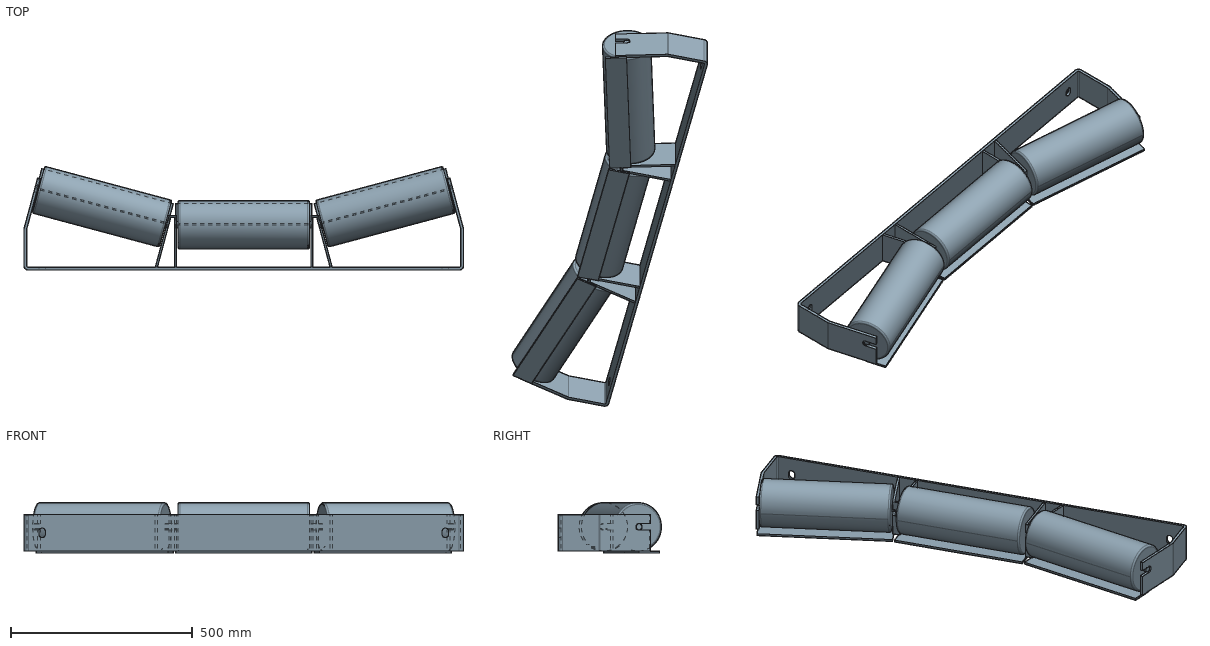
import cadquery as cq
import math

TILT = 15.0
HEIGHT = 100.0

FRAME_LENGTH = 1210.0
FRAME_THICKNESS = 8.0
INNER_BEND_RADIUS = 4.0
FLANGE_BEND_Y = 114.0
FLANGE_END_Y = 254.0
MOUNT_SLOT_LENGTH = 26.0
MOUNT_SLOT_WIDTH = 18.0
MOUNT_SLOT_X = 555.0

ROLLER_DIAMETER = 133.6
ROLLER_LENGTH = 362.0
ROLLER_EDGE_RADIUS = 5.0
AXLE_DIAMETER = 18.0
AXLE_LENGTH = 375.0
PLATE_WIDTH = 58.5
PLATE_THICKNESS = 6.0
PLATE_SINK = 0.1

MIDDLE_AXIS_Y = 124.8
OUTER_CENTRE_X = 390.0
OUTER_CENTRE_Y = 174.59

LEG_THICKNESS = 6.0
BRIDGE_TOP_Y = 151.0

SIN = math.sin(math.radians(TILT))
COS = math.cos(math.radians(TILT))
TAN = math.tan(math.radians(TILT))
HALF_LENGTH = FRAME_LENGTH / 2
OUTER_BEND_RADIUS = INNER_BEND_RADIUS + FRAME_THICKNESS
AXIS_Z = ROLLER_DIAMETER / 2 - PLATE_SINK
LEG_OFFSET = AXLE_LENGTH / 2


def place_middle(shape):
    """Move a shape built around X = Y = 0 to the middle roller."""
    return shape.translate((0, MIDDLE_AXIS_Y, 0))


def place_right(shape):
    """Move a shape built around X = Y = 0 to the right-hand outer roller."""
    turned = shape.rotate((0, 0, 0), (0, 0, 1), TILT)
    return turned.translate((OUTER_CENTRE_X, OUTER_CENTRE_Y, 0))


def mirror_left(shape):
    """Mirror a right-hand shape to the left-hand side."""
    return shape.mirror("YZ")


def rod(diameter, length):
    """Round bar along X, centred on the roller axis."""
    return cq.Workplane("YZ", origin=(-length / 2, 0, AXIS_Z)).circle(diameter / 2).extrude(length)


def roller():
    """Round-edged roller with its axle ends and the flat plate below it."""
    shell = rod(ROLLER_DIAMETER, ROLLER_LENGTH).edges("%CIRCLE").fillet(ROLLER_EDGE_RADIUS)
    plate = (
        cq.Workplane("XY")
        .box(AXLE_LENGTH, PLATE_WIDTH, PLATE_THICKNESS, centered=(True, False, False))
        .translate((0, 0, -PLATE_THICKNESS))
    )
    return shell.union(rod(AXLE_DIAMETER, AXLE_LENGTH)).union(plate)


def axle_slot():
    """Round-bottomed cutter for the axle, open towards +Y, reaching past both ends of the axle."""
    length = AXLE_LENGTH + 4 * FRAME_THICKNESS
    mouth = (
        cq.Workplane("XY")
        .box(length, ROLLER_DIAMETER, AXLE_DIAMETER, centered=(True, False, True))
        .translate((0, 0, AXIS_Z))
    )
    return rod(AXLE_DIAMETER, length).union(mouth)


def frame():
    """Long strap with a side flange at each end that bends inwards along the outer roller."""
    inner_x = HALF_LENGTH - FRAME_THICKNESS
    inner_bend_y = FLANGE_BEND_Y - FRAME_THICKNESS * math.tan(math.radians(TILT / 2))
    end_x = HALF_LENGTH - (FLANGE_END_Y - FLANGE_BEND_Y) * TAN
    half = (
        cq.Workplane("XY")
        .lineTo(HALF_LENGTH, 0)
        .lineTo(HALF_LENGTH, FLANGE_BEND_Y)
        .lineTo(end_x, FLANGE_END_Y)
        .lineTo(end_x - FRAME_THICKNESS * COS, FLANGE_END_Y - FRAME_THICKNESS * SIN)
        .lineTo(inner_x, inner_bend_y)
        .lineTo(inner_x, FRAME_THICKNESS)
        .lineTo(0, FRAME_THICKNESS)
        .close()
        .extrude(HEIGHT)
    )
    bends = [
        (HALF_LENGTH, 0, OUTER_BEND_RADIUS),
        (inner_x, FRAME_THICKNESS, INNER_BEND_RADIUS),
        (HALF_LENGTH, FLANGE_BEND_Y, OUTER_BEND_RADIUS),
        (inner_x, inner_bend_y, INNER_BEND_RADIUS),
    ]
    for x, y, radius in bends:
        half = half.edges(cq.NearestToPointSelector((x, y, HEIGHT / 2))).fillet(radius)

    mount_slot = (
        cq.Workplane("XZ", origin=(MOUNT_SLOT_X, FRAME_THICKNESS, HEIGHT / 2))
        .slot2D(MOUNT_SLOT_LENGTH, MOUNT_SLOT_WIDTH, 90)
        .extrude(FRAME_THICKNESS)
    )
    half = half.cut(mount_slot).cut(place_right(axle_slot()))
    return half.union(mirror_left(half))


def slanted_x(offset, y):
    """X, at a given Y, of a line square to the right-hand roller, offset inwards from its middle."""
    return OUTER_CENTRE_X - offset / COS - (y - OUTER_CENTRE_Y) * TAN


def bracket():
    """Upright leg and slanted leg joined by a bridge, standing between two rollers."""
    foot_y = FRAME_THICKNESS
    bridge_y = BRIDGE_TOP_Y - LEG_THICKNESS
    near = LEG_OFFSET - LEG_THICKNESS / 2
    far = LEG_OFFSET + LEG_THICKNESS / 2
    body = (
        cq.Workplane("XY")
        .moveTo(near, foot_y)
        .lineTo(far, foot_y)
        .lineTo(far, bridge_y)
        .lineTo(slanted_x(far, bridge_y), bridge_y)
        .lineTo(slanted_x(far, foot_y), foot_y)
        .lineTo(slanted_x(near, foot_y), foot_y)
        .lineTo(slanted_x(near, BRIDGE_TOP_Y), BRIDGE_TOP_Y)
        .lineTo(near, BRIDGE_TOP_Y)
        .close()
        .extrude(HEIGHT)
    )
    return body.cut(place_middle(axle_slot())).cut(place_right(axle_slot()))


strap_frame = frame()
right_bracket = bracket()
left_bracket = mirror_left(right_bracket)
middle_roller = place_middle(roller())
right_roller = place_right(roller())
left_roller = mirror_left(right_roller)

bodies = [strap_frame, right_bracket, left_bracket, middle_roller, right_roller, left_roller]
result = cq.Compound.makeCompound([body.val() for body in bodies])